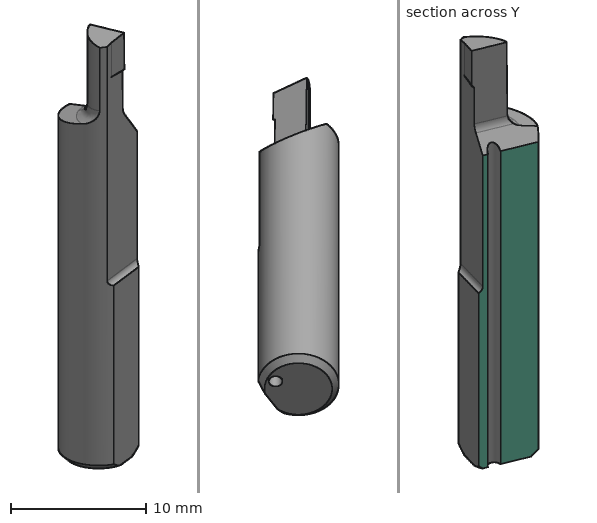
import cadquery as cq
import math

shank_diameter = 6.0
shank_radius = shank_diameter / 2
total_length = 35.0
clamp_flat_x = 2.35
foot_chamfer = 0.5

relief_flat_x = 2.0
relief_start_z = 15.1
relief_run_out_radius = 0.5

coolant_diameter = 1.0
coolant_x = 1.05
coolant_y = 1.5

neck_left_x = -0.72
neck_straight_end_y = -0.25
neck_arc_radius = 3.4
neck_arc_start = math.radians(16)
neck_arc_end = math.radians(90)
neck_root_radius = 1.0
rake_angle = math.radians(1)

shoulder_low_z = 27.65
shoulder_angle = 11.5
back_slope_angle = math.radians(49)
back_slope_low_z = 25.1

tip_height = 3.15
tip_edge_x = 2.17
tip_relief_depth = 2.1
tip_relief_x = 1.95
tip_step_chamfer = 0.15
end_relief_angle = math.radians(7)

reach = 2 * shank_diameter
shoulder_block = 8 * reach


def make_shank():
    shank = cq.Workplane("XY").circle(shank_radius).extrude(total_length)
    shank = shank.faces("<Z").chamfer(foot_chamfer)
    flat_cut = cq.Workplane("XY").box(
        reach, reach, total_length, centered=(False, True, False)
    )
    return shank.cut(flat_cut.translate((clamp_flat_x, 0, 0)))


def make_relief_flat_cutter():
    """Slab along the shank side; its lower inner edge is rounded."""
    cutter = cq.Workplane("XY").box(
        reach, reach, total_length, centered=(False, True, False)
    )
    cutter = cutter.edges("<X and <Z").fillet(relief_run_out_radius)
    return cutter.translate((relief_flat_x, 0, relief_start_z))


def make_back_cutter():
    """Raked cutting face, blended into the slope that falls to the +Y side."""
    slope = math.tan(back_slope_angle)
    rake = math.tan(rake_angle)
    slope_axis_z = back_slope_low_z + shank_radius * slope
    corner_z = (slope_axis_z - slope * rake * total_length) / (1 - slope * rake)
    corner_y = rake * (total_length - corner_z)
    top_z = total_length + reach
    profile = [
        (corner_y, corner_z),
        (-rake * reach, top_z),
        (reach, top_z),
        (reach, slope_axis_z - slope * reach),
    ]
    cutter = cq.Workplane("YZ").polyline(profile).close().extrude(reach, both=True)
    root_edge = cq.selectors.NearestToPointSelector((0, corner_y, corner_z))
    return cutter.edges(root_edge).fillet(neck_root_radius)


def make_neck_cutter():
    """Space around the neck, above the tilted shoulder, with a rounded root."""
    center_x = neck_left_x + neck_arc_radius * math.cos(neck_arc_start)
    center_y = neck_straight_end_y + neck_arc_radius * math.sin(neck_arc_start)

    def arc_point(angle):
        return (
            center_x - neck_arc_radius * math.cos(angle),
            center_y - neck_arc_radius * math.sin(angle),
        )

    arc_end = arc_point(neck_arc_end)
    arc_middle = arc_point((neck_arc_start + neck_arc_end) / 2)
    outside = (
        cq.Workplane("XY")
        .moveTo(neck_left_x, reach)
        .lineTo(neck_left_x, neck_straight_end_y)
        .threePointArc(arc_middle, arc_end)
        .lineTo(arc_end[0], -reach)
        .lineTo(-reach, -reach)
        .lineTo(-reach, reach)
        .close()
        .extrude(total_length + reach)
    )
    below_shoulder = (
        cq.Workplane("XY")
        .box(shoulder_block, shoulder_block, shoulder_block)
        .translate((0, 0, -shoulder_block / 2))
        .rotate((0, 0, 0), (0, 1, 0), -shoulder_angle)
        .translate((-shank_radius, 0, shoulder_low_z))
    )
    cutter = outside.cut(below_shoulder)
    tilt = math.radians(shoulder_angle)
    shoulder = cq.selectors.DirectionMinMaxSelector(
        cq.Vector(-math.sin(tilt), 0, math.cos(tilt)), directionMax=False
    )
    root_edges = cutter.faces(shoulder).edges("not(<X or <Y or >Y or >X)")
    return root_edges.fillet(neck_root_radius)


def make_tip():
    """Side cutting edge that stands proud of the relief flat."""
    tip = (
        cq.Workplane("XY")
        .workplane(offset=total_length - tip_height)
        .polyline(
            [
                (0, shank_radius),
                (tip_edge_x, shank_radius),
                (tip_edge_x, 0),
                (tip_relief_x, -tip_relief_depth),
                (0, -tip_relief_depth),
            ]
        )
        .close()
        .extrude(tip_height)
    )
    return tip.faces("<Z").edges("not(<X or <Y or >Y)").chamfer(tip_step_chamfer)


def make_end_relief_cutter():
    """Wedge that drops the end face away from the cutting edge toward -Y."""
    drop = reach * math.tan(end_relief_angle)
    profile = [(0, total_length), (-reach, total_length), (-reach, total_length - drop)]
    return cq.Workplane("YZ").polyline(profile).close().extrude(reach, both=True)


def make_coolant_hole():
    return (
        cq.Workplane("XY")
        .center(coolant_x, coolant_y)
        .circle(coolant_diameter / 2)
        .extrude(total_length)
    )


result = (
    make_shank()
    .cut(make_relief_flat_cutter())
    .union(make_tip())
    .cut(make_neck_cutter())
    .cut(make_back_cutter())
    .cut(make_end_relief_cutter())
    .cut(make_coolant_hole())
)